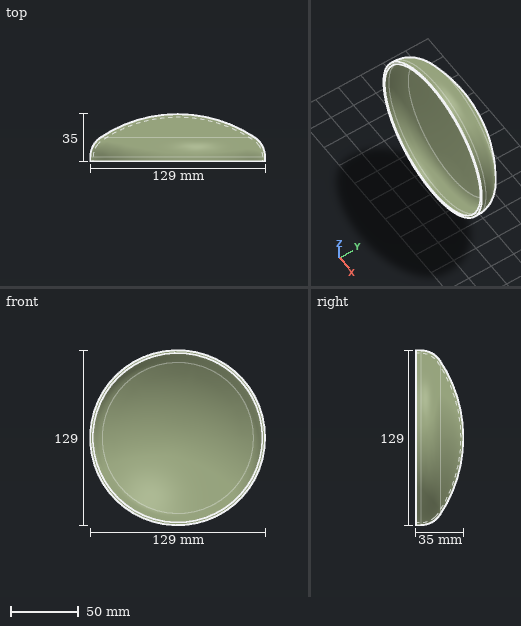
import cadquery as cq
import math

outer_radius = 64.5
height = 35.0
rim_length = 3.4
knuckle_radius = 17.3
wall = 2.0

knuckle_center_x = outer_radius - knuckle_radius
rise = height - rim_length
crown_radius = (knuckle_center_x**2 + rise**2 - knuckle_radius**2) / (2 * (rise - knuckle_radius))
crown_center_y = height - crown_radius

joint_angle = math.asin(knuckle_center_x / (crown_radius - knuckle_radius))


def arc_point(center_x, center_y, radius, angle):
    """Point on an arc, with the angle measured from the Y axis."""
    return (center_x + radius * math.sin(angle), center_y + radius * math.cos(angle))


def solid_cap(inset):
    """Filled cap whose surface lies the given distance inside the outer surface."""
    knuckle = knuckle_radius - inset
    crown = crown_radius - inset
    knuckle_mid_angle = (joint_angle + math.pi / 2) / 2
    profile = (
        cq.Workplane("XY")
        .lineTo(outer_radius - inset, 0)
        .lineTo(outer_radius - inset, rim_length)
        .threePointArc(
            arc_point(knuckle_center_x, rim_length, knuckle, knuckle_mid_angle),
            arc_point(knuckle_center_x, rim_length, knuckle, joint_angle),
        )
        .threePointArc(
            arc_point(0, crown_center_y, crown, joint_angle / 2),
            (0, height - inset),
        )
        .close()
    )
    return profile.revolve(360, (0, 0, 0), (0, 1, 0))


result = solid_cap(0).cut(solid_cap(wall))